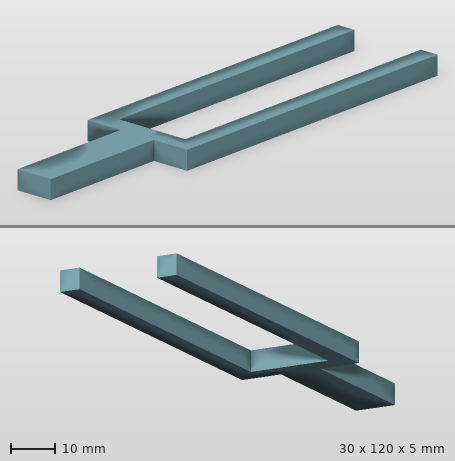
import cadquery as cq

total_length = 120.0
fork_width = 30.0
bar_size = 5.0
handle_width = fork_width / 3
handle_length = 35.0

fork_length = total_length - handle_length
slot_width = fork_width - 2 * bar_size
slot_length = fork_length - bar_size


def plate(width, length, start_y):
    """Flat plate centred on X, running from start_y toward +Y."""
    return cq.Workplane("XY").box(
        width, length, bar_size, centered=(True, False, False)
    ).translate((0, start_y, 0))


handle = plate(handle_width, handle_length, 0)
fork_blank = plate(fork_width, fork_length, handle_length)
slot = plate(slot_width, slot_length, handle_length + bar_size)

result = fork_blank.cut(slot).union(handle)